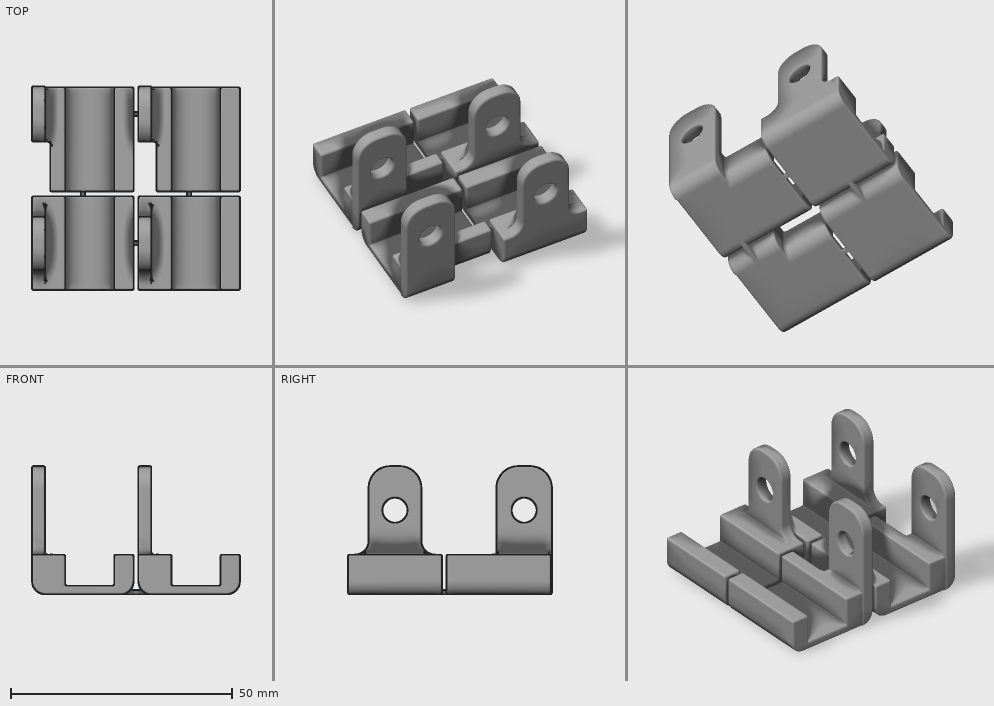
import cadquery as cq
CLIP_WIDTH = 23.0
CLIP_GAP = 1.0
BASE_HEIGHT = 9.0
FLOOR_THICKNESS = 2.0
CHANNEL_START = 7.55
CHANNEL_WIDTH = 11.0
BOTTOM_RADIUS = 3.0
EDGE_RADIUS = 0.5
FLOOR_CORNER_RADIUS = 0.3

TAB_THICKNESS = 3.0
TAB_TOP = 29.0
TAB_CORNER_RADIUS = 5.0
HOLE_DIAMETER = 5.6
HOLE_HEIGHT = 19.0
ROOT_RADIUS = 0.5

FRONT_LENGTH = 21.25
FRONT_TAB_WIDTH = 12.0
FLARE_RADIUS = 3.0

REAR_LENGTH = 23.6
REAR_TAB_WIDTH = 12.6
REAR_TAB_OVERHANG = 0.25
STEP_DEPTH = 4.1

STRIP_SIZE = 1.0
STRIP_OVERLAP = 3.0

TOLERANCE = 1e-3

PITCH_X = CLIP_WIDTH + CLIP_GAP
CHANNEL_END = CHANNEL_START + CHANNEL_WIDTH
FRONT_TAB_CENTRE = FRONT_LENGTH / 2
REAR_START = FRONT_LENGTH + CLIP_GAP
REAR_END = REAR_START + REAR_LENGTH
REAR_TAB_END = REAR_END + REAR_TAB_OVERHANG
REAR_TAB_START = REAR_TAB_END - REAR_TAB_WIDTH
REAR_TAB_CENTRE = REAR_TAB_END - REAR_TAB_WIDTH / 2


def box(x_start, x_end, y_start, y_end, z_start, z_end):
    """Box between two opposite corners."""
    size = (x_end - x_start, y_end - y_start, z_end - z_start)
    return cq.Workplane("XY").box(*size, centered=False).translate((x_start, y_start, z_start))


def rounded_bar(x_start, y_start, y_end):
    """Solid bar along Y with large rounds on its two lower edges."""
    bar = box(x_start, CLIP_WIDTH, y_start, y_end, 0, BASE_HEIGHT)
    return bar.edges("|Y and <Z").fillet(BOTTOM_RADIUS)


def cut_channel(bar, y_start, y_end):
    """Open the channel along the bar."""
    return bar.cut(box(CHANNEL_START, CHANNEL_END, y_start, y_end, FLOOR_THICKNESS, BASE_HEIGHT))


def edge_near(part, point):
    """The edge whose middle lies closest to a point."""
    return part.edges(cq.selectors.NearestToPointSelector(point))


def round_edges(part, edges):
    """Give a list of edges the common edge radius."""
    return part.newObject(edges).fillet(EDGE_RADIUS)


def end_edges(body):
    """Edges around the two end faces of a body."""
    return body.faces("<Y or >Y").edges().vals()


def top_edges(body):
    """Lengthwise edges along the top of a body, beyond the foot of its tab."""
    edges = []
    for edge in body.edges("|Y").vals():
        centre = edge.Center()
        at_top = abs(centre.z - BASE_HEIGHT) < TOLERANCE
        if at_top and centre.x > TAB_THICKNESS + TOLERANCE:
            edges.append(edge)
    return edges


def round_floor_corners(clip, y_start, y_end):
    """Small rounds where the channel walls meet the floor."""
    for x in (CHANNEL_START, CHANNEL_END):
        middle = (x, (y_start + y_end) / 2, FLOOR_THICKNESS)
        clip = edge_near(clip, middle).fillet(FLOOR_CORNER_RADIUS)
    return clip


def drill_tab(tab, y_centre):
    """Hole through the tab, along X."""
    hole = cq.Workplane("YZ").center(y_centre, HOLE_HEIGHT).circle(HOLE_DIAMETER / 2).extrude(TAB_THICKNESS)
    return tab.cut(hole)


def front_tab_outline():
    """Tab outline in YZ: rounded top and concave flares down to the top of the body."""
    y_left = FRONT_TAB_CENTRE - FRONT_TAB_WIDTH / 2
    y_right = FRONT_TAB_CENTRE + FRONT_TAB_WIDTH / 2
    flare_top = BASE_HEIGHT + FLARE_RADIUS
    corner_start = TAB_TOP - TAB_CORNER_RADIUS
    foot = BASE_HEIGHT - FLARE_RADIUS
    return (
        cq.Workplane("YZ")
        .moveTo(y_left - FLARE_RADIUS, foot)
        .lineTo(y_left - FLARE_RADIUS, BASE_HEIGHT)
        .radiusArc((y_left, flare_top), -FLARE_RADIUS)
        .lineTo(y_left, corner_start)
        .radiusArc((y_left + TAB_CORNER_RADIUS, TAB_TOP), TAB_CORNER_RADIUS)
        .lineTo(y_right - TAB_CORNER_RADIUS, TAB_TOP)
        .radiusArc((y_right, corner_start), TAB_CORNER_RADIUS)
        .lineTo(y_right, flare_top)
        .radiusArc((y_right + FLARE_RADIUS, BASE_HEIGHT), -FLARE_RADIUS)
        .lineTo(y_right + FLARE_RADIUS, foot)
        .close()
    )


def root_strip(y_start, y_end):
    """Concave round between the inner face of a tab and the top of the body."""
    return (
        cq.Workplane("XZ", origin=(TAB_THICKNESS, y_start, BASE_HEIGHT))
        .lineTo(ROOT_RADIUS, 0)
        .radiusArc((0, ROOT_RADIUS), ROOT_RADIUS)
        .close()
        .extrude(y_start - y_end)
    )


def front_clip():
    """Full-width channel with a flared tab in the middle of its left wall."""
    tab = front_tab_outline().extrude(TAB_THICKNESS)
    tab = drill_tab(tab, FRONT_TAB_CENTRE)
    tab = tab.faces(">X").edges("not(<Z)").fillet(EDGE_RADIUS)

    body = cut_channel(rounded_bar(0, 0, FRONT_LENGTH), 0, FRONT_LENGTH)
    clip = body.union(tab).clean()
    left_edges = clip.faces("<X").edges().vals()
    clip = round_edges(clip, left_edges + end_edges(clip) + top_edges(clip))
    clip = round_floor_corners(clip, 0, FRONT_LENGTH)

    strip = root_strip(0, FRONT_LENGTH).intersect(front_tab_outline().extrude(CHANNEL_START))
    return clip.union(strip)


def rear_body():
    """Channel whose left side steps inward in front of the tab."""
    narrow_bar = rounded_bar(STEP_DEPTH, REAR_START, REAR_END)
    wide_bar = rounded_bar(0, REAR_TAB_START, REAR_END)
    body = cut_channel(narrow_bar.union(wide_bar), REAR_START, REAR_END).clean()

    wall_middle = (BOTTOM_RADIUS + BASE_HEIGHT) / 2
    outer_corner = edge_near(body, (0, REAR_TAB_START, wall_middle)).vals()
    body = round_edges(body, end_edges(body) + top_edges(body) + outer_corner)
    inner_corner = edge_near(body, (STEP_DEPTH, REAR_TAB_START, wall_middle)).vals()
    body = round_edges(body, inner_corner)
    return round_floor_corners(body, REAR_START, REAR_END)


def rear_tab():
    """Tab that runs down the full height of the clip and follows its lower round."""
    tab = box(0, CLIP_WIDTH, REAR_TAB_START, REAR_TAB_END, 0, TAB_TOP)
    tab = tab.edges("|X and >Z").fillet(TAB_CORNER_RADIUS)
    tab = tab.edges("|Y and <Z and <X").fillet(BOTTOM_RADIUS)
    tab = tab.intersect(box(0, TAB_THICKNESS, REAR_TAB_START, REAR_TAB_END, 0, TAB_TOP))
    tab = drill_tab(tab, REAR_TAB_CENTRE)
    return tab.faces("<X or >X").edges("not(<Z)").fillet(EDGE_RADIUS)


def rear_clip():
    """Stepped channel with a tab at its back end."""
    strip = root_strip(REAR_TAB_START + EDGE_RADIUS, REAR_END - EDGE_RADIUS)
    return rear_body().union(rear_tab()).union(strip)


def joining_strips():
    """Square strips across the gaps between neighbouring clips."""
    half = STRIP_SIZE / 2
    strips = []
    for y in (FRONT_TAB_CENTRE, REAR_TAB_CENTRE):
        x_start = CLIP_WIDTH - STRIP_OVERLAP
        x_end = PITCH_X + STRIP_OVERLAP
        strips.append(box(x_start, x_end, y - half, y + half, 0, STRIP_SIZE))
    for x_left in (0, PITCH_X):
        x = x_left + CLIP_WIDTH / 2
        y_start = FRONT_LENGTH - STRIP_OVERLAP
        y_end = REAR_START + STRIP_OVERLAP
        strips.append(box(x - half, x + half, y_start, y_end, 0, STRIP_SIZE))
    return strips


clip_pair = front_clip().union(rear_clip())
result = clip_pair.union(clip_pair.translate((PITCH_X, 0, 0)))
for joining_strip in joining_strips():
    result = result.union(joining_strip)